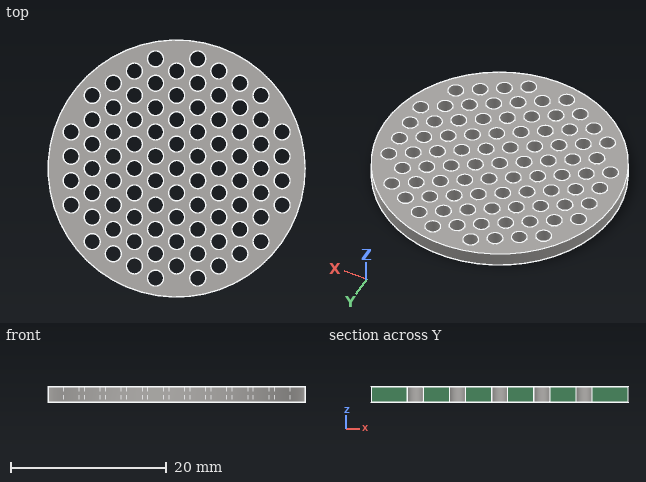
import cadquery as cq
import math

plate_diameter = 33.0
plate_thickness = 2.0

hole_diameter = 2.0
column_spacing = 2.7
hole_pitch = column_spacing * 2 / math.sqrt(3)
field_radius = 14.85


def hole_centers():
    """Grid points inside the field; every second column is shifted by half a pitch."""
    last_column = math.floor(field_radius / column_spacing)
    last_row = math.ceil(field_radius / hole_pitch)
    centers = []
    for column in range(-last_column, last_column + 1):
        x = column * column_spacing
        shift = (column % 2) * hole_pitch / 2
        for row in range(-last_row, last_row + 1):
            y = row * hole_pitch + shift
            if math.hypot(x, y) <= field_radius:
                centers.append((x, y))
    return centers


plate = cq.Workplane("XY").circle(plate_diameter / 2).extrude(plate_thickness)

holes = (
    cq.Workplane("XY")
    .pushPoints(hole_centers())
    .circle(hole_diameter / 2)
    .extrude(plate_thickness)
)

result = plate.cut(holes)